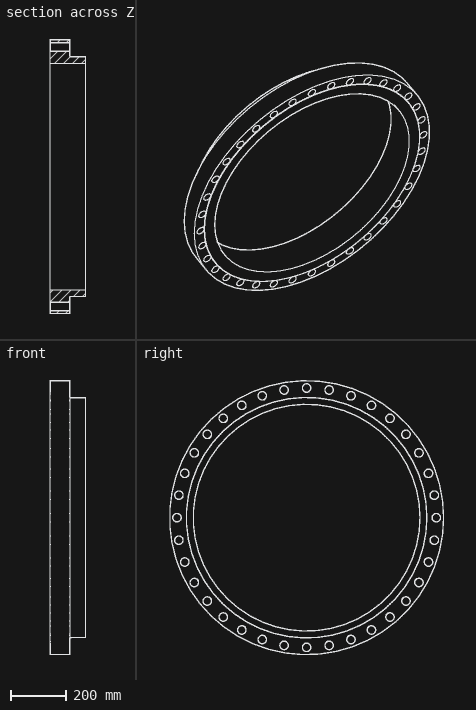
import cadquery as cq

outer_diameter = 991.0
bore_diameter = 818.0
hub_diameter = 868.0
raised_face_diameter = 907.0
total_length = 129.0
flange_thickness = 72.0
raised_face_height = 1.0
hub_neck_length = 6.0
hub_neck_flare = 1.0

bolt_count = 36
bolt_circle_diameter = 937.0
bolt_hole_diameter = 30.0


def cylinder(diameter, start, end):
    """Solid cylinder about the X axis between two X positions."""
    return cq.Workplane("YZ").workplane(offset=start).circle(diameter / 2).extrude(end - start)


def cone(start_diameter, end_diameter, start, end):
    """Solid truncated cone about the X axis between two X positions."""
    return (
        cq.Workplane("YZ")
        .workplane(offset=start)
        .circle(start_diameter / 2)
        .workplane(offset=end - start)
        .circle(end_diameter / 2)
        .loft(ruled=True)
    )


flange = cylinder(outer_diameter, raised_face_height, flange_thickness)
raised_face = cone(
    raised_face_diameter - 2 * raised_face_height,
    raised_face_diameter,
    0,
    raised_face_height,
)

neck_end = flange_thickness + hub_neck_length
hub = cylinder(hub_diameter, 0, total_length)
neck = cone(hub_diameter + 2 * hub_neck_flare, hub_diameter, flange_thickness, neck_end)

bolt_holes = (
    cq.Workplane("YZ")
    .polarArray(bolt_circle_diameter / 2, 0, 360, bolt_count)
    .circle(bolt_hole_diameter / 2)
    .extrude(flange_thickness)
)

bore = cylinder(bore_diameter, 0, total_length)
body = flange.union(raised_face).union(hub).union(neck)
result = body.cut(bore).cut(bolt_holes)